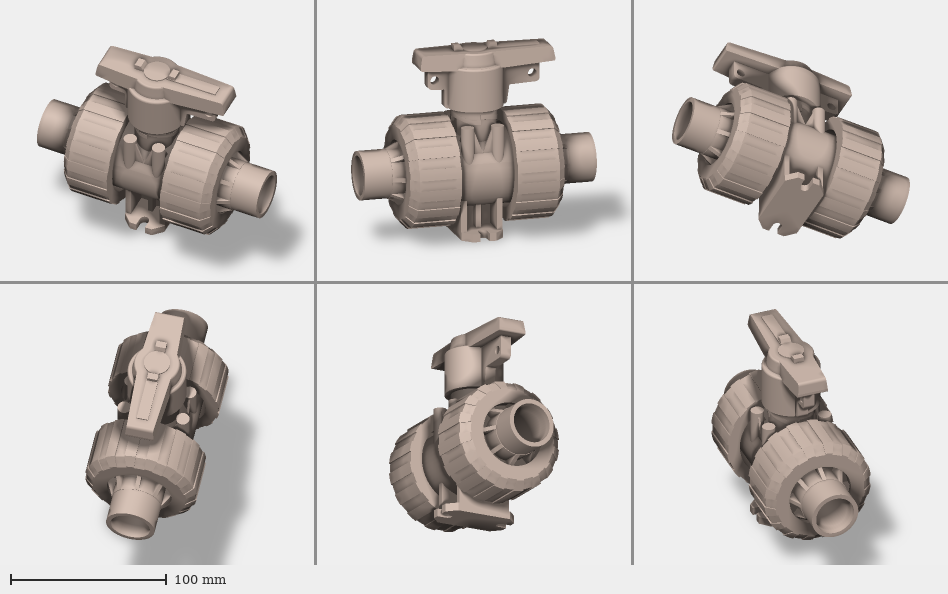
import cadquery as cq

overall_length = 155.0

barrel_radius = 25.0
barrel_half_length = 38.8
flow_radius = 12.4

neck_radius = 15.0
neck_top = 54.7
neck_core_radius = 14.5
neck_core_half_width = 13.2
cam_projection = 0.23
cam_bottom = 31.8
cam_height = 3.0
cam_rise = 3.7
cam_ramp_start = 5.9
cam_ramp_end = 15.5
cam_count = 4

post_diameter = 8.5
post_spacing_x = 20.0
post_spacing_y = 38.6
post_radius = post_diameter / 2
post_x = post_spacing_x / 2
post_y = post_spacing_y / 2
post_top = cam_bottom

web_outer_y = 20.5
web_thickness = 1.4
web_notch_bottom = 14.3
web_notch_top_half_width = 6.8
gusset_outer_x = 13.3
gusset_toe_y = 12.1
gusset_toe_z = 21.1
gusset_top_y = 18.3

foot_bottom = -43.4
foot_thickness = 5.3
foot_width = 27.7
foot_half_x = foot_width / 2
foot_half_y = 25.1
foot_corner = 6.2
foot_slot_width = 6.2
foot_slot_depth = 5.7
upright_thickness = 3.7
upright_half_y = 18.0
centre_wall_thickness = 3.7
centre_column_radius = 5.0
centre_rib_width = 3.3
centre_rib_half_y = 10.2

nut_inner_x = 18.8
nut_outer_x = 51.6
nut_radius = 36.7
nut_groove_depth = 1.0
nut_groove_width = 7.0
nut_groove_count = 16
nut_chamfer_length = 4.8
nut_chamfer_height = 5.6
nut_lip_radius = 21.2
nut_bore_radius = 27.9
nut_lip_thickness = 6.7

pipe_radius = 16.0
pipe_bore_radius = 13.0
sleeve_radius = 16.3
sleeve_start_x = 59.0
pipe_rib_count = 8
pipe_rib_width = 2.8
pipe_rib_slope = 0.5

hub_radius = 18.9
hub_bottom = 41.2
hub_top = 67.9
hub_slot_width = 9.0
hub_slot_top = 68.8
lever_top = 78.9
lever_left_x = -38.6
lever_right_x = 51.6
lever_tip_bottom = 69.1
lever_tip_land = 2.3
lever_left_inset = 1.2
lever_right_inset = 1.5
lever_edge_fillet = 2.2
lever_bottom_fillet = 1.0
lever_left_half_width = 10.4
lever_middle_half_width = 12.9
lever_right_half_width = 9.6
lever_side_draft = 6.0
wing_thickness = 7.3
wing_left_x = -32.0
wing_right_x = 42.8
wing_hole_diameter = 5.7
wing_hole_z = 60.3
wing_hole_left_x = -27.3
wing_hole_right_x = 38.0
cap_diameter = 16.9
cap_top = 79.8
stop_top = 82.5
stop_outer_x = 14.3
stop_inner_x = 9.9
stop_bevel = 1.7
stop_width = 6.8
strip_width = 7.5



def x_cylinder(radius, x_start, x_end):
    """Cylinder around the pipe axis."""
    return cq.Workplane("YZ").workplane(offset=x_start).circle(radius).extrude(x_end - x_start)


def z_cylinder(radius, z_start, z_end, x=0, y=0):
    """Upright cylinder."""
    return cq.Workplane("XY").workplane(offset=z_start).center(x, y).circle(radius).extrude(z_end - z_start)


def block(x_start, x_end, y_start, y_end, z_start, z_end):
    """Box given by its limits on each axis."""
    size = (x_end - x_start, y_end - y_start, z_end - z_start)
    return cq.Workplane("XY").box(*size, centered=False).translate((x_start, y_start, z_start))


def ring_around_x(outline):
    """Revolve an (x, radius) outline around the pipe axis."""
    return cq.Workplane("XY").polyline(outline).close().revolve(360, (0, 0, 0), (1, 0, 0))


def plate_along_x(outline, thickness):
    """Extrude an (x, z) outline symmetrically about the XZ plane."""
    return cq.Workplane("XZ").polyline(outline).close().extrude(thickness / 2, both=True)



def cam_prism(low_offset, high_offset):
    """Quadrant prism between two copies of the cam ramp, raised by the given offsets."""
    ramp = [(0, 0), (-cam_ramp_start, 0), (-cam_ramp_end, cam_rise)]
    lower = [(x, cam_bottom + z + low_offset) for x, z in ramp]
    upper = [(x, cam_bottom + z + high_offset) for x, z in ramp]
    return cq.Workplane("XZ").polyline(lower + upper[::-1]).close().extrude(cam_ramp_end)


def make_neck():
    """Round neck on a flat-sided core, with a ring of four stepped cam ramps between them."""
    core = z_cylinder(neck_core_radius, 0, neck_top).intersect(
        block(-neck_core_half_width, neck_core_half_width, -neck_radius, neck_radius, 0, neck_top)
    )
    collar = z_cylinder(neck_radius, cam_bottom, hub_bottom).intersect(cam_prism(0, hub_bottom))
    cam_ring = z_cylinder(neck_radius + cam_projection, cam_bottom, hub_bottom)
    cam = cam_ring.intersect(cam_prism(0, cam_height))
    quadrant = collar.union(cam)
    neck = core.union(z_cylinder(neck_radius, hub_bottom, neck_top))
    for i in range(cam_count):
        neck = neck.union(quadrant.rotate((0, 0, 0), (0, 0, 1), i * 360 / cam_count))
    return neck


def make_post_gusset():
    """Thin triangular gusset on the neck side of the post at +X, +Y."""
    outline = [
        (gusset_toe_y, gusset_toe_z),
        (gusset_top_y, post_top),
        (post_y, post_top),
        (post_y, gusset_toe_z),
    ]
    return (
        cq.Workplane("YZ").workplane(offset=gusset_outer_x - web_thickness)
        .polyline(outline).close().extrude(web_thickness)
    )


def make_post_web():
    """Thin plate between two posts with a V notch down to the barrel."""
    web = block(-post_x, post_x, -web_outer_y, web_thickness - web_outer_y, 0, post_top)
    notch_outline = [
        (0, web_notch_bottom),
        (web_notch_top_half_width, post_top),
        (-web_notch_top_half_width, post_top),
    ]
    return web.cut(plate_along_x(notch_outline, 2 * barrel_radius))


def make_foot():
    """Slotted base plate with two uprights and a cross-shaped centre support."""
    plate_top = foot_bottom + foot_thickness
    foot = block(-foot_half_x, foot_half_x, -foot_half_y, foot_half_y, foot_bottom, plate_top)
    foot = foot.edges("|Z").chamfer(foot_corner)

    for side in (-1, 1):
        slot = (
            cq.Workplane("XY").workplane(offset=foot_bottom)
            .center(0, side * foot_half_y)
            .slot2D(2 * foot_slot_depth + foot_slot_width, foot_slot_width, 90)
            .extrude(foot_thickness)
        )
        foot = foot.cut(slot)

    inner_x = foot_half_x - upright_thickness
    for x_start in (-foot_half_x, inner_x):
        upright = block(
            x_start, x_start + upright_thickness, -upright_half_y, upright_half_y, plate_top, 0
        )
        foot = foot.union(upright)

    half_wall = centre_wall_thickness / 2
    half_rib = centre_rib_width / 2
    foot = foot.union(block(-inner_x, inner_x, -half_wall, half_wall, plate_top, 0))
    foot = foot.union(block(-half_rib, half_rib, -centre_rib_half_y, centre_rib_half_y, plate_top, 0))
    return foot.union(z_cylinder(centre_column_radius, plate_top, 0))


def make_body():
    """Bored barrel with the stem neck, webbed posts and mounting foot."""
    body = x_cylinder(barrel_radius, -barrel_half_length, barrel_half_length)
    body = body.union(make_neck())
    for x in (-post_x, post_x):
        for y in (-post_y, post_y):
            body = body.union(z_cylinder(post_radius, 0, post_top, x, y))
    web = make_post_web()
    body = body.union(web).union(web.mirror("XZ"))
    gusset = make_post_gusset()
    gusset_pair = gusset.union(gusset.mirror("XZ"))
    body = body.union(gusset_pair).union(gusset_pair.mirror("YZ"))
    body = body.union(make_foot())
    return body.cut(x_cylinder(flow_radius, -barrel_half_length, barrel_half_length))



def nut_blank(radius):
    """Nut on the +X side with a bevelled outer end and an inward lip."""
    lip_x = nut_outer_x - nut_lip_thickness
    return ring_around_x([
        (nut_inner_x, nut_bore_radius),
        (nut_inner_x, radius),
        (nut_outer_x - nut_chamfer_length, radius),
        (nut_outer_x, radius - nut_chamfer_height),
        (nut_outer_x, nut_lip_radius),
        (lip_x, nut_lip_radius),
        (lip_x, nut_bore_radius),
    ])


def make_nut():
    """Grip nut: full-height teeth between shallow parallel-sided grooves."""
    half_width = nut_groove_width / 2
    groove = block(nut_inner_x, nut_outer_x, -half_width, half_width, nut_bore_radius, nut_radius)
    teeth = nut_blank(nut_radius)
    for i in range(nut_groove_count):
        angle = i * 360 / nut_groove_count
        teeth = teeth.cut(groove.rotate((0, 0, 0), (1, 0, 0), angle))
    return nut_blank(nut_radius - nut_groove_depth).union(teeth)



def make_pipe_end():
    """Pipe end on the +X side: spigot, flange held by the nut lip, radial ribs."""
    flange_x = nut_outer_x - nut_lip_thickness
    pipe_end_x = overall_length / 2
    pipe = x_cylinder(pipe_radius, barrel_half_length, pipe_end_x)
    pipe = pipe.union(x_cylinder(sleeve_radius, barrel_half_length, sleeve_start_x))
    pipe = pipe.union(x_cylinder(nut_bore_radius, barrel_half_length, flange_x))

    rib_full_x = sleeve_start_x - (nut_lip_radius - sleeve_radius) / pipe_rib_slope
    rib = plate_along_x(
        [
            (flange_x, flow_radius),
            (flange_x, nut_lip_radius),
            (rib_full_x, nut_lip_radius),
            (sleeve_start_x, sleeve_radius),
            (sleeve_start_x, flow_radius),
        ],
        pipe_rib_width,
    ).intersect(x_cylinder(nut_lip_radius, flange_x, sleeve_start_x))
    for i in range(pipe_rib_count):
        pipe = pipe.union(rib.rotate((0, 0, 0), (1, 0, 0), i * 360 / pipe_rib_count))
    return pipe.cut(x_cylinder(pipe_bore_radius, barrel_half_length, pipe_end_x))



def make_hub():
    """Round hub with a drafted dome on top."""
    shoulder_radius = 17.4
    shoulder_z = 69.6
    dome_base_radius = 16.1
    dome_base_z = 70.2
    dome_top_radius = 14.5
    dome_fillet = 1.4
    hub = (
        cq.Workplane("XZ")
        .moveTo(0, hub_bottom)
        .lineTo(hub_radius, hub_bottom)
        .lineTo(hub_radius, hub_top)
        .radiusArc((shoulder_radius, shoulder_z), -(hub_radius - shoulder_radius))
        .lineTo(dome_base_radius, dome_base_z)
        .lineTo(dome_top_radius, lever_top)
        .lineTo(0, lever_top)
        .close()
        .revolve(360, (0, 0, 0), (0, 1, 0))
    )
    return hub.faces(">Z").edges().fillet(dome_fillet)


def make_lever():
    """Tapering grip: drafted sides, sloped tips and a shallow V underside."""
    reach = 3.1
    plan = [
        (lever_left_x - reach, lever_left_half_width),
        (0, lever_middle_half_width),
        (lever_right_x + reach, lever_right_half_width),
        (lever_right_x + reach, -lever_right_half_width),
        (0, -lever_middle_half_width),
        (lever_left_x - reach, -lever_left_half_width),
    ]
    bar = (
        cq.Workplane("XY").workplane(offset=hub_top)
        .polyline(plan).close()
        .extrude(lever_top - hub_top, taper=lever_side_draft)
    )
    side = plate_along_x(
        [
            (lever_left_x, lever_tip_bottom),
            (-hub_radius, hub_top),
            (hub_radius, hub_top),
            (lever_right_x, lever_tip_bottom),
            (lever_right_x, lever_tip_bottom + lever_tip_land),
            (lever_right_x - lever_right_inset, lever_top),
            (lever_left_x + lever_left_inset, lever_top),
            (lever_left_x, lever_tip_bottom + lever_tip_land),
        ],
        2 * hub_radius,
    )
    side = side.faces(">Z").edges("|Y").fillet(lever_edge_fillet)
    side = side.faces("<X or >X").edges("|Y").edges("<Z").fillet(lever_bottom_fillet)
    return bar.intersect(side)


def make_wing():
    """Upright plate under the lever with a locking hole at each end."""
    corner_z = 54.5
    step_z = 53.8
    left_step_x = -20.8
    right_step_x = 22.6
    right_foot_x = 20.8
    corner_fillet = 2.6
    foot_fillet = 1.9
    step_fillet = 0.5
    wing = plate_along_x(
        [
            (wing_left_x, lever_tip_bottom),
            (wing_left_x, corner_z),
            (left_step_x, step_z),
            (left_step_x, hub_bottom),
            (right_foot_x, hub_bottom),
            (right_step_x, step_z),
            (wing_right_x, corner_z),
            (wing_right_x, lever_tip_bottom),
        ],
        wing_thickness,
    )
    wing = wing.edges("|Y and (<X or >X)").edges("<Z").fillet(corner_fillet)
    wing = wing.faces("<Z").edges("|Y").fillet(foot_fillet)
    around_steps = cq.selectors.BoxSelector(
        (left_step_x - 1.5, -wing_thickness, step_z - 1.5), (right_step_x + 1.5, wing_thickness, step_z + 1.5)
    )
    wing = wing.edges("|Y").edges(around_steps).fillet(step_fillet)
    holes = (
        cq.Workplane("XZ")
        .pushPoints([(wing_hole_left_x, wing_hole_z), (wing_hole_right_x, wing_hole_z)])
        .circle(wing_hole_diameter / 2)
        .extrude(wing_thickness, both=True)
    )
    return wing.cut(holes)


def make_top_marks():
    """Round cap, two bevelled stops and a pointer strip on top of the lever."""
    marks = z_cylinder(cap_diameter / 2, lever_top, cap_top)
    stop = plate_along_x(
        [
            (-stop_outer_x, lever_top),
            (-stop_outer_x, stop_top),
            (-stop_inner_x, stop_top),
            (-stop_inner_x + stop_bevel, cap_top),
            (-stop_inner_x + stop_bevel, lever_top),
        ],
        stop_width,
    )
    half_strip = strip_width / 2
    strip = block(stop_inner_x - stop_bevel, wing_right_x, -half_strip, half_strip, lever_top, cap_top)
    return marks.union(stop).union(stop.mirror("YZ")).union(strip)


def make_handle():
    """Slotted hub and lever straddling the wing, bored to fit over the neck."""
    half_slot = hub_slot_width / 2
    slot = block(lever_left_x, lever_right_x, -half_slot, half_slot, hub_bottom, hub_slot_top)
    handle = make_hub().union(make_lever()).cut(slot)
    handle = handle.union(make_wing()).union(make_top_marks())
    return handle.cut(z_cylinder(neck_radius, hub_bottom, neck_top))



body = make_body()
handle = make_handle()

nuts = []
pipe_ends = []
for on_left in (False, True):
    nut = make_nut()
    pipe_end = make_pipe_end()
    if on_left:
        nut = nut.mirror("YZ")
        pipe_end = pipe_end.mirror("YZ")
    nuts.append(nut.val())
    pipe_ends.append(pipe_end.val())

result = cq.Compound.makeCompound([body.val(), *nuts, *pipe_ends, handle.val()])